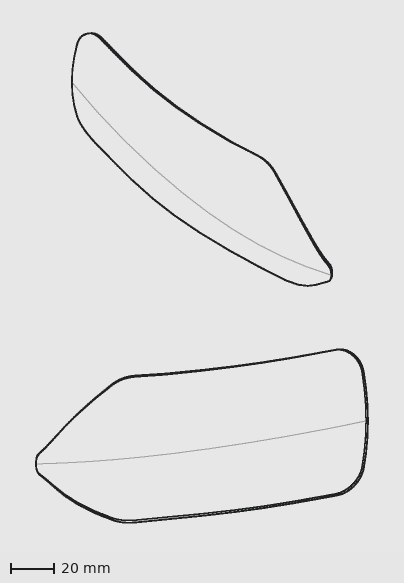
import cadquery as cq

length = 170.2
wall = 1.4
half_width = 34.7
shoulder_half_width = 34.97
straight_end = 102.1
shoulder_x = 115.7
corner_radius = 11.9

stations = [
    (0.0, 0.0, 6.3),
    (42.5, 3.7, 8.8),
    (85.0, 11.4, 13.0),
    (127.6, 24.5, 19.4),
    (153.1, 37.3, 22.0),
    (length, 49.3, 22.8),
]

nose_points = [(130.2, 31.3), (140.4, 26.4), (150.8, 20.5), (161.0, 12.6), (167.6, 6.1)]

margin = 1.7
reach_taper = 0.7
taper_power = 8
surface_tolerance = 0.001
steps_along = 24
steps_across = 12


def interpolate(x, column):
    """Polynomial through one column of the stations, evaluated at x."""
    total = 0.0
    for station in stations:
        weight = 1.0
        for other in stations:
            if other is not station:
                weight *= (x - other[0]) / (station[0] - other[0])
        total += weight * station[column]
    return total


def surface_point(x, z):
    """Point on the outer surface, whose cross-sections are parabolas."""
    rise = interpolate(x, 2) * (z / half_width) ** 2
    return cq.Vector(x, interpolate(x, 1) + rise, z)


def surface_reach(x):
    """Half height of the untrimmed surface, tapering to stay close to the nose."""
    return (shoulder_half_width + margin) * (1 - reach_taper * (x / length) ** taper_power)


def grid_row(x):
    """Points across the full height of the untrimmed surface."""
    reach = surface_reach(x)
    return [surface_point(x, reach * (2 * j / steps_across - 1)) for j in range(steps_across + 1)]


def outer_surface():
    """Outer surface, slightly larger than the finished blade."""
    x_step = (length + 2 * margin) / steps_along
    grid = [grid_row(-margin + i * x_step) for i in range(steps_along + 1)]
    return cq.Face.makeSplineApprox(grid, tol=surface_tolerance, minDeg=3, maxDeg=6)


def half_outline_prism():
    """Upper half of the blade outline in XZ, extruded along Y past the whole surface."""
    prism = (
        cq.Workplane("XZ")
        .lineTo(0, half_width)
        .lineTo(straight_end, half_width)
        .lineTo(shoulder_x, shoulder_half_width)
        .spline(nose_points + [(length, 0)], tangents=[(1, 0), (0, -1)], includeCurrent=True)
        .close()
        .extrude(length, both=True)
    )
    return prism.edges("|Y").edges("<X").edges(">Z").fillet(corner_radius)


trimmed = outer_surface().intersect(half_outline_prism().val()).Faces()[0]
inward = wall if trimmed.normalAt().y > 0 else -wall
upper_half = cq.Workplane("XY").newObject([trimmed.thicken(inward)])
result = upper_half.union(upper_half.mirror("XY"))